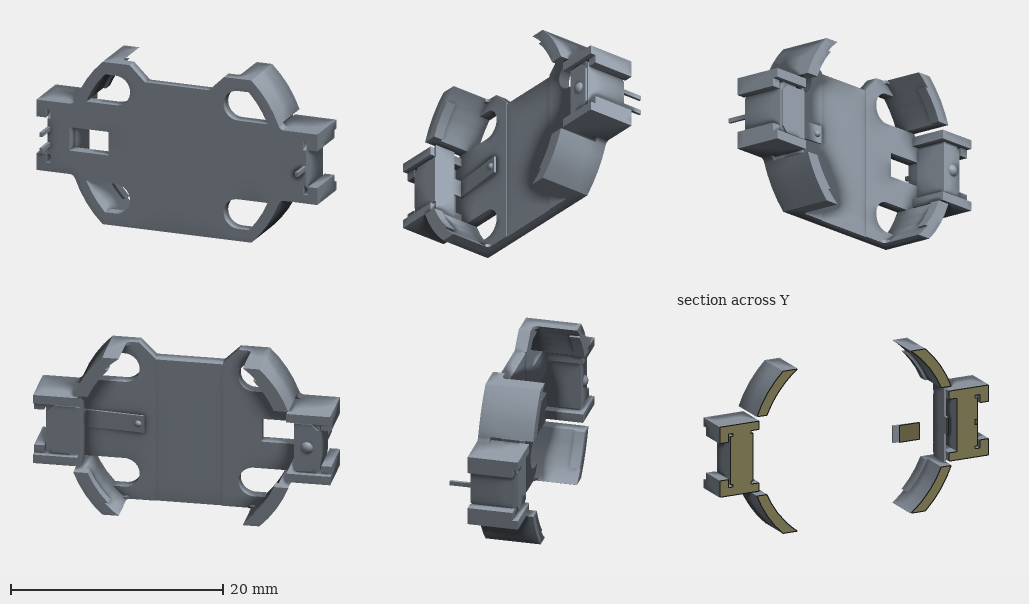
import cadquery as cq
import math


length = 28.5
half_length = length / 2
plate_height = 16.1
half_height = plate_height / 2
rim_radius = 11.03
floor_top = 1.17
arm_top = 5.35
arm_end_x = 5.95
arm_end_z = 3.9
arm_foot_radius = 0.37
foot_inner_z = 7.75
bore_radius = 10.0
hook_radius = 9.75
hook_bottom = 4.35

notch_floor_z = 6.55
notch_floor_x = 3.25
notch_mouth_x = 4.8
channel_floor = 1.08
channel_chamfer = 0.15

window_inner_z = arm_end_z
window_outer_z = 6.85
window_round_x = 6.2
contact_window_right = -6.93
contact_window_half = 1.17

block_height = 6.98
block_half_height = block_height / 2
block_top = 4.9
block_root_radius = 0.57
block_end_x = 10.03
recess_end_x = 10.9
wall_outer_x = 13.1
wall_top = 4.35
lip_inner_x = 13.28
lip_inner_z = 1.82
recess_half = 2.62

sheet = 0.28
leaf = 0.2
tail_half_bottom = 1.77
tail_half = 2.4
taper = tail_half - tail_half_bottom
tail_inner_x = wall_outer_x - sheet
strip_top = 4.53
strip_outer_x = 12.97
pin_length = 2.05
pin_width = 0.43
pin_offset = 0.77
dome_radius = 0.6
dome_height = block_top - strip_top
wing_half = 3.73
wing_bottom = 2.22
wing_top = 4.42

spring_width = 1.7
spring_tip_x = 4.2
spring_tip_top = 1.9
spring_root_top = floor_top + leaf
spring_dome_x = 4.75
spring_dome_radius = 0.35
spring_dome_height = 0.35
spring_dome_sink = 0.05


def plane_at(y):
    """XZ workplane at height y; a negative extrusion rises toward +Y."""
    return cq.Workplane("XZ", origin=(0, y, 0))


def box(x0, x1, y0, y1, z0, z1):
    return cq.Workplane("XY").box(x1 - x0, y1 - y0, z1 - z0, centered=False).translate((x0, y0, z0))


def disc(radius, y0, y1):
    return plane_at(y0).circle(radius).extrude(y0 - y1)


def both_ends(left):
    return left.union(left.mirror("YZ"))


def dome(x, y, radius, height):
    """Spherical cap on the plane at height y, rising toward +Y."""
    ball_radius = (radius ** 2 + height ** 2) / (2 * height)
    ball = cq.Workplane("XY").sphere(ball_radius).translate((x, y + height - ball_radius, 0))
    return ball.intersect(box(x - radius, x + radius, y, y + height, -radius, radius))


def base_plate():
    rim = disc(rim_radius, 0, floor_top)
    rim = rim.intersect(box(-half_length, half_length, 0, floor_top, -half_height, half_height))
    bar = box(-half_length, half_length, 0, floor_top, -block_half_height, block_half_height)
    corner_x = math.sqrt(rim_radius ** 2 - block_half_height ** 2)
    margin = 0.28
    near_corner = cq.selectors.BoxSelector(
        (-corner_x - margin, 0, -block_half_height - margin),
        (corner_x + margin, floor_top, block_half_height + margin),
    )
    plate = rim.union(bar).edges("|Y").edges(near_corner).fillet(block_root_radius)
    notch = (
        plane_at(0)
        .polyline([
            (-notch_floor_x, notch_floor_z),
            (notch_floor_x, notch_floor_z),
            (notch_mouth_x, half_height),
            (-notch_mouth_x, half_height),
        ])
        .close()
        .extrude(-floor_top)
    )
    channel = box(-notch_floor_x, notch_floor_x, channel_floor, floor_top, -half_height, notch_floor_z)
    edge_bevel = (
        cq.Workplane("YZ", origin=(-notch_floor_x, 0, 0))
        .polyline([
            (channel_floor, notch_floor_z - channel_chamfer),
            (channel_floor, notch_floor_z),
            (channel_floor - channel_chamfer, notch_floor_z),
        ])
        .close()
        .extrude(2 * notch_floor_x)
    )
    return plate.cut(notch).cut(channel).cut(edge_bevel)


def four_corners(left_upper):
    upper = both_ends(left_upper)
    return upper.union(upper.mirror("XY"))


def corner_windows():
    """Four windows, each round toward the middle and bounded by the cell circle outside."""
    middle_z = (window_inner_z + window_outer_z) / 2
    round_radius = (window_outer_z - window_inner_z) / 2
    slot = box(-bore_radius, -window_round_x, 0, floor_top, window_inner_z, window_outer_z)
    slot = slot.union(disc(round_radius, 0, floor_top).translate((-window_round_x, 0, middle_z)))
    return four_corners(slot.intersect(disc(bore_radius, 0, floor_top)))


def arms():
    ring = disc(rim_radius, floor_top, arm_top).cut(disc(bore_radius, floor_top, arm_top))
    ring = ring.intersect(box(-half_length, half_length, floor_top, arm_top, -half_height, half_height))
    side_gap = box(-half_length, half_length, floor_top, arm_top, -arm_end_z, arm_end_z)
    opening = box(-arm_end_x, arm_end_x, floor_top, 2 * arm_top, -half_height, half_height)
    return ring.cut(side_gap).cut(opening)


def arm_feet():
    """Small concave webs between the arm ends and the plate."""
    foot_start = arm_end_x - arm_foot_radius
    foot_top = floor_top + arm_foot_radius
    web = box(-arm_end_x - arm_foot_radius, -foot_start, floor_top, foot_top, foot_inner_z, half_height)
    hollow = (
        cq.Workplane("XY", origin=(-foot_start, foot_top, foot_inner_z))
        .circle(arm_foot_radius)
        .extrude(half_height - foot_inner_z)
    )
    return four_corners(web.cut(hollow))


def hooks():
    """Four retaining hooks on the arm tops, each as long as the window under it."""
    middle_radius = (bore_radius + rim_radius) / 2
    ring = disc(middle_radius, hook_bottom, arm_top).cut(disc(hook_radius, hook_bottom, arm_top))
    span = box(-half_length, 0, hook_bottom, arm_top, window_inner_z, window_outer_z)
    return four_corners(ring.intersect(span))


def left_block():
    """End block with a shallow trough across its top and a recess in its inner face."""
    block = box(-half_length, -block_end_x, 0, block_top, -block_half_height, block_half_height)
    trough = box(-half_length, -block_end_x, wall_top, block_top, -recess_half, recess_half)
    recess = box(-recess_end_x, -block_end_x, floor_top, block_top, -recess_half, recess_half)
    return block.cut(trough).cut(recess)


def left_wall_gap():
    """Gap between the lips and the slot behind them, open through the whole height."""
    lip_gap = box(-half_length, -wall_outer_x, 0, block_top, -lip_inner_z, lip_inner_z)
    slot = box(-lip_inner_x, -tail_inner_x, 0, block_top, -recess_half, recess_half)
    return lip_gap.union(slot)


def tail_plate():
    """Upright plate closing the outer wall, with its bottom corners bevelled."""
    return (
        cq.Workplane("YZ", origin=(-wall_outer_x, 0, 0))
        .polyline([
            (0, -tail_half_bottom),
            (0, tail_half_bottom),
            (taper, tail_half),
            (wall_top, tail_half),
            (wall_top, -tail_half),
            (taper, -tail_half),
        ])
        .close()
        .extrude(sheet)
    )


def left_strip(inner_x):
    """Contact strip over the wall top, ending at inner_x, with bevelled outer corners."""
    strip = box(-strip_outer_x, -inner_x, wall_top, strip_top, -tail_half, tail_half)
    return strip.edges("|Y and <X").chamfer(taper)


def left_leaf():
    """Leaf hanging from the left strip against the back of the recess."""
    return box(-recess_end_x, -recess_end_x + leaf, floor_top, strip_top, -tail_half, tail_half)


def left_pin(z):
    half = pin_width / 2
    return box(-wall_outer_x, -tail_inner_x, -pin_length, 0, z - half, z + half)


def right_leaf():
    """Leaf hanging from the right strip: wide wings across the block end and a narrow neck to the spring."""
    front_x = block_end_x - leaf
    stem = box(front_x, block_end_x, wing_bottom, strip_top, -tail_half, tail_half)
    wings = box(front_x, block_end_x, wing_bottom, wing_top, -wing_half, wing_half)
    neck = box(front_x, block_end_x, floor_top, wing_bottom, -spring_width / 2, spring_width / 2)
    return stem.union(wings).union(neck)


def right_riser():
    """Upright tail of the right contact, from the wall top down to the underside."""
    return box(tail_inner_x, wall_outer_x, 0, wall_top, -pin_width / 2, pin_width / 2)


def make_housing():
    """Holder with the left contact formed in one piece with it."""
    housing = base_plate().union(arms()).union(arm_feet()).union(hooks()).union(both_ends(left_block()))
    contact_window = box(
        -recess_end_x, contact_window_right, 0, floor_top, -contact_window_half, contact_window_half
    )
    housing = housing.cut(corner_windows()).cut(contact_window)
    housing = housing.cut(both_ends(left_wall_gap())).union(both_ends(tail_plate()))
    strip_middle = -(strip_outer_x + recess_end_x) / 2
    housing = housing.union(left_strip(recess_end_x - leaf)).union(left_leaf())
    housing = housing.union(dome(strip_middle, strip_top, dome_radius, dome_height))
    for z in (-pin_offset, pin_offset):
        housing = housing.union(left_pin(z))
    return housing.cut(right_riser())


def make_right_contact():
    """Right contact: one pin, riser, strip over the wall, and a domed spring reaching over the base."""
    spring = (
        cq.Workplane("XY", origin=(0, 0, -spring_width / 2))
        .polyline([
            (block_end_x, spring_root_top),
            (block_end_x, spring_root_top - leaf),
            (spring_tip_x, spring_tip_top - leaf),
            (spring_tip_x, spring_tip_top),
        ])
        .close()
        .extrude(spring_width)
    )
    slope = (spring_tip_top - spring_root_top) / (block_end_x - spring_tip_x)
    dome_base = spring_tip_top - slope * (spring_dome_x - spring_tip_x) - spring_dome_sink
    contact = left_pin(0).union(left_strip(block_end_x - leaf)).mirror("YZ")
    contact = contact.union(right_riser()).union(right_leaf()).union(spring)
    return contact.union(dome(spring_dome_x, dome_base, spring_dome_radius, spring_dome_height))


housing = make_housing()
right_contact = make_right_contact()

result = cq.Compound.makeCompound([housing.val(), right_contact.val()])